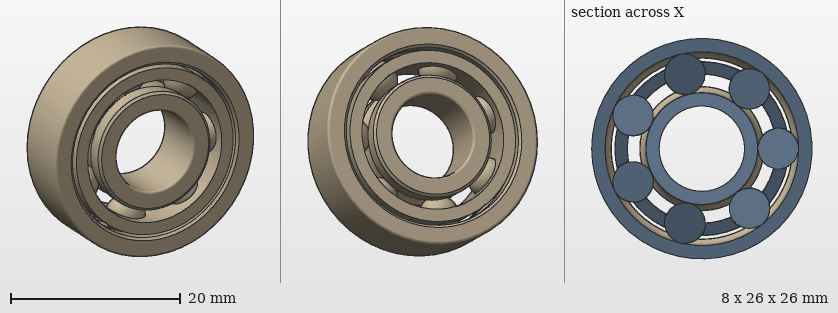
import cadquery as cq
import math


outer_radius = 13.0
bore_radius = 5.0
width = 8.0
edge_size = 0.3
inner_ring_radius = 7.3
outer_ring_bore = 10.65

ball_count = 7
ball_radius = 2.4
pitch_radius = (inner_ring_radius + outer_ring_bore) / 2

cage_inner_radius = 8.75
cage_outer_radius = 10.25
cage_width = 7.8


def tube(inner, outer, length):
    """Plain tube along X, centred on the middle plane."""
    start_plane = cq.Workplane("YZ", origin=(-length / 2, 0, 0))
    body = start_plane.circle(outer).circle(inner).extrude(length)
    return body.rotate((0, 0, 0), (1, 0, 0), 180)


def end_edges(body, radius):
    """Body with its round edges of the given radius on both end faces selected."""
    edges = body.faces("<X or >X").edges().vals()
    return body.newObject([edge for edge in edges if math.isclose(edge.radius(), radius)])


def raceway():
    """Torus that the balls sweep as they roll round the bearing axis."""
    x_axis = cq.Vector(1, 0, 0)
    return cq.Workplane(cq.Solid.makeTorus(pitch_radius, ball_radius, cq.Vector(0, 0, 0), x_axis))


def race_ring(inner, outer, plain_radius, shoulder_radius):
    """Ring with a filleted plain side and a chamfered shoulder side that carries the ball groove."""
    body = tube(inner, outer, width)
    body = end_edges(body, plain_radius).fillet(edge_size)
    body = end_edges(body, shoulder_radius).chamfer(edge_size)
    return body.cut(raceway())


def ball(index):
    """One ball at its place on the pitch circle, with its poles on a radial line."""
    center = cq.Vector(0, pitch_radius, 0)
    radial = cq.Vector(0, 1, 0)
    first_ball = cq.Workplane(cq.Solid.makeSphere(ball_radius, center, radial, -90, 90, 360))
    return first_ball.rotate((0, 0, 0), (1, 0, 0), index * 360 / ball_count)


def ball_cage():
    """Plain ring between the shoulders with a spherical pocket for each ball."""
    body = tube(cage_inner_radius, cage_outer_radius, cage_width)
    for index in range(ball_count):
        body = body.cut(ball(index))
    return body


inner_ring = race_ring(bore_radius, inner_ring_radius, bore_radius, inner_ring_radius)
outer_ring = race_ring(outer_ring_bore, outer_radius, outer_radius, outer_ring_bore)
cage = ball_cage()
balls = [ball(index).val() for index in range(ball_count)]

result = cq.Compound.makeCompound([inner_ring.val(), outer_ring.val(), cage.val(), *balls])